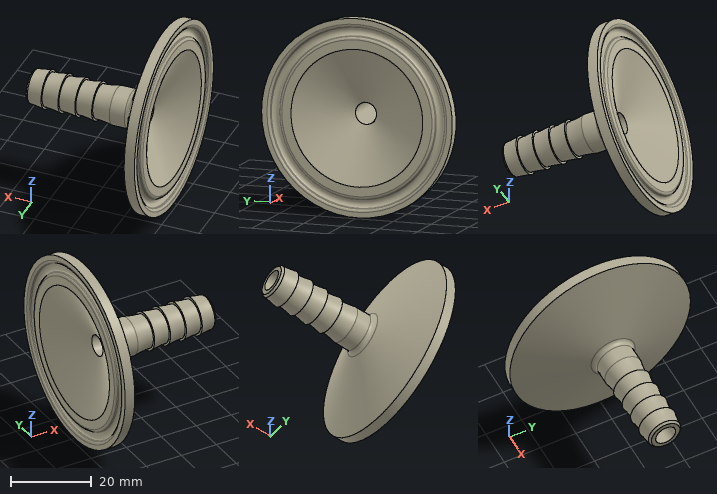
import cadquery as cq
import math

rim_radius = 25.2
total_length = 38.1
rim_thickness = 2.8
bore_radius = 2.75

groove_center_radius = 21.75
groove_half_width = 1.95
groove_arc_radius = 1.2
groove_lip_radius = 0.8
groove_flank_angle = math.radians(65)

cone_angle = math.radians(20)
funnel_mouth_radius = 17.4
funnel_depth = 6.55

stem_radius = 5.15
stem_fillet = 1.5
barb_count = 5
barb_pitch = 4.55
barb_step = 0.65
barb_hollow = 0.1
first_barb_start = 15.2
tip_chamfer_length = 0.6
tip_chamfer_depth = 0.5


def revolve_about_x(profile):
    return profile.revolve(360, (0, 0, 0), (1, 0, 0))


def outer_profile():
    """Half section of the solid body, from the axis round to the rim and the barbed tip."""
    corner_x = rim_thickness + (rim_radius - stem_radius) * math.tan(cone_angle)
    tangent_length = stem_fillet * math.tan((math.pi / 2 - cone_angle) / 2)
    fillet_start = (
        corner_x - tangent_length * math.sin(cone_angle),
        stem_radius + tangent_length * math.cos(cone_angle),
    )
    fillet_end = (corner_x + tangent_length, stem_radius)
    profile = (
        cq.Workplane("XY")
        .lineTo(0, rim_radius)
        .lineTo(rim_thickness, rim_radius)
        .lineTo(*fillet_start)
        .tangentArcPoint(fillet_end, relative=False)
    )

    barb_start = first_barb_start
    root_radius = stem_radius - barb_step
    for index in range(barb_count):
        barb_end = total_length - (barb_count - 1 - index) * barb_pitch
        middle = ((barb_start + barb_end) / 2, (stem_radius + root_radius) / 2 - barb_hollow)
        profile = (
            profile.lineTo(barb_start, stem_radius)
            .threePointArc(middle, (barb_end, root_radius))
        )
        barb_start = barb_end
    return profile.lineTo(total_length, 0).close()


def funnel_cut():
    """Conical mouth that narrows to the through bore."""
    return revolve_about_x(
        cq.Workplane("XY")
        .lineTo(0, funnel_mouth_radius)
        .lineTo(funnel_depth, bore_radius)
        .lineTo(total_length, bore_radius)
        .lineTo(total_length, 0)
        .close()
    )


def groove_cut():
    """Ring groove with a round bottom, sloping flanks and rounded lips."""
    sin_flank = math.sin(groove_flank_angle)
    cos_flank = math.cos(groove_flank_angle)
    lip_offset = groove_half_width - groove_lip_radius * sin_flank
    lip_depth = groove_lip_radius * (1 - cos_flank)
    arc_offset = groove_arc_radius * sin_flank
    arc_depth = lip_depth + (lip_offset - arc_offset) * math.tan(groove_flank_angle)
    bottom_depth = arc_depth + groove_arc_radius * (1 - cos_flank)
    return revolve_about_x(
        cq.Workplane("XY")
        .moveTo(0, groove_center_radius - groove_half_width)
        .radiusArc((lip_depth, groove_center_radius - lip_offset), groove_lip_radius)
        .lineTo(arc_depth, groove_center_radius - arc_offset)
        .threePointArc(
            (bottom_depth, groove_center_radius),
            (arc_depth, groove_center_radius + arc_offset),
        )
        .lineTo(lip_depth, groove_center_radius + lip_offset)
        .radiusArc((0, groove_center_radius + groove_half_width), groove_lip_radius)
        .close()
    )


body = revolve_about_x(outer_profile())
body = body.faces(">X").edges().chamfer(tip_chamfer_length, tip_chamfer_depth)
result = body.cut(funnel_cut()).cut(groove_cut())